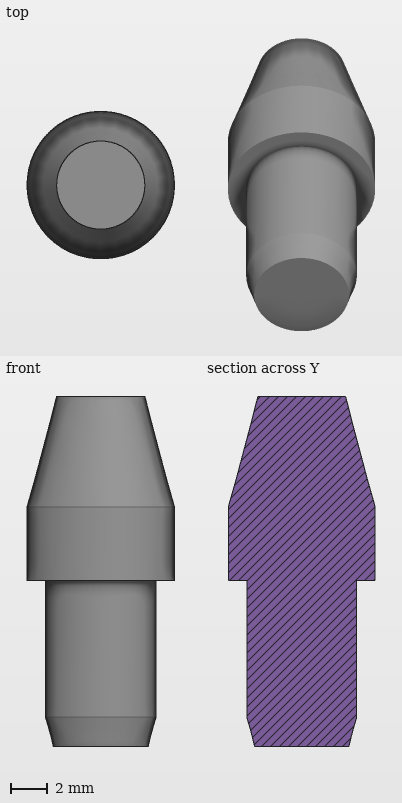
import cadquery as cq
import math

head_diameter = 8.0
head_band_height = 4.0
head_taper_height = 6.0
shank_diameter = 6.0
shank_length = 9.0
tip_length = 1.6
taper_angle = 15.0

head_radius = head_diameter / 2
shank_radius = shank_diameter / 2
taper_slope = math.tan(math.radians(taper_angle))
head_top_radius = head_radius - head_taper_height * taper_slope
tip_radius = shank_radius - tip_length * taper_slope
head_top = head_band_height + head_taper_height

half_section = [
    (0, -shank_length),
    (tip_radius, -shank_length),
    (shank_radius, tip_length - shank_length),
    (shank_radius, 0),
    (head_radius, 0),
    (head_radius, head_band_height),
    (head_top_radius, head_top),
    (0, head_top),
]

result = (
    cq.Workplane("YZ")
    .polyline(half_section)
    .close()
    .revolve(360, (0, 0), (0, 1))
)